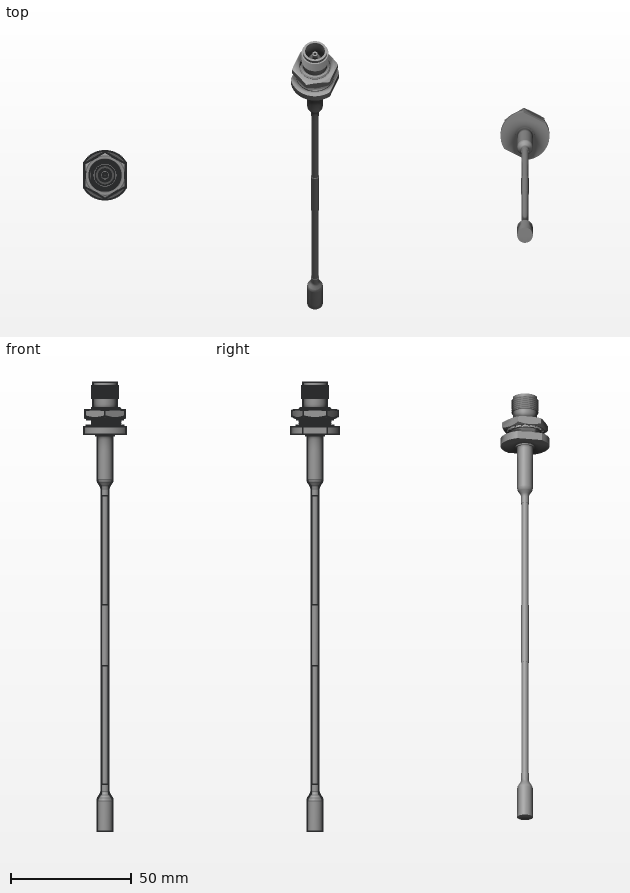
import cadquery as cq
import math


jack_top_z = 185.9
barrel_r = 5.0
bore_r = 4.0
bore_depth = 9.3
coupling_thread_r = 5.5
coupling_thread_bottom_z = 179.2
coupling_thread_turns = 6
thread_pitch = 0.87
thread_depth = 0.4
mount_thread_r = 6.5
mount_thread_top_z = 175.3
mount_thread_chamfer = 0.5
mount_flat_x = 5.5
seat_r = 7.8
seat_height = 0.5
flange_diameter = 20.3
flange_width = 17.5
flange_top_z = 167.5
flange_bottom_z = 164.3
collar_r = 3.9
collar_height = 0.5

nut_flats = 16.7
nut_top_z = 174.5
nut_bottom_z = 171.0
nut_chamfer_r = 8.2
nut_top_chamfer_angle = 15
nut_bottom_chamfer_angle = 30
washer_r = 7.6
washer_thickness = 0.7
washer_notches = 16
washer_notch_width = 0.7
washer_notch_depth = 0.7

insulator_r = 2.6
insulator_chamfer = 0.5
insulator_height = 4.3
contact_height = 7.3
contact_r = 1.1
contact_hole_r = 0.5
contact_hole_depth = 3.7

cable_r = 1.5
label_r = 1.58
label_top_z = 93.9
label_bottom_z = 68.6
boot_diameter = 6.5
boot_neck_r = 1.64
boot_neck_length = 3.0
boot_taper_length = 3.9
lower_boot_shoulder_z = 12.6
upper_boot_shoulder_z = 145.7
boot_taper_angle = 33
boot_round_length = 1.3

collar_bottom_z = flange_bottom_z - collar_height
bore_floor_z = jack_top_z - bore_depth
flange_r = flange_diameter / 2
boot_r = boot_diameter / 2
nut_height = nut_top_z - nut_bottom_z
coupling_thread_top_z = coupling_thread_bottom_z + coupling_thread_turns * thread_pitch


def cylinder(radius, bottom_z, top_z):
    """Solid cylinder on the Z axis between two heights."""
    return cq.Workplane("XY", origin=(0, 0, bottom_z)).circle(radius).extrude(top_z - bottom_z)


def turned(points):
    """Solid of revolution about Z from a closed outline of (radius, height) points."""
    return cq.Workplane("XZ").polyline(points).close().revolve(360, (0, 0, 0), (0, 1, 0))


def thread_grooves(radius, bottom_z, turns):
    """V-shaped rings, one per turn, that cut a thread into a shank of the given radius."""
    grooves = []
    for i in range(turns):
        middle_z = bottom_z + (i + 0.5) * thread_pitch
        grooves.append(turned([
            (radius, middle_z - thread_pitch / 2),
            (radius, middle_z + thread_pitch / 2),
            (radius - thread_depth, middle_z),
        ]))
    return grooves


def threaded_shank(radius, bottom_z, top_z, turns):
    """Shank with a ring-grooved thread that starts at its lower end."""
    shank = cylinder(radius, bottom_z, top_z)
    for groove in thread_grooves(radius, bottom_z, turns):
        shank = shank.cut(groove)
    return shank


def mount_thread():
    """Mounting thread with a chamfered top and one flat on the -X side."""
    seat_z = flange_top_z + seat_height
    turns = math.floor((mount_thread_top_z - mount_thread_chamfer - seat_z) / thread_pitch)
    shank = threaded_shank(mount_thread_r, seat_z, mount_thread_top_z, turns)
    shank = shank.faces(">Z").chamfer(mount_thread_chamfer)
    keep = cq.Workplane("XY").box(
        mount_flat_x + mount_thread_r, 2 * mount_thread_r, mount_thread_top_z, centered=(False, True, False)
    )
    return shank.intersect(keep.translate((-mount_flat_x, 0, 0)))


def flange():
    """Round flange with two flats across X, its raised seat above and its collar below."""
    disc = cylinder(flange_r, flange_bottom_z, flange_top_z)
    disc = disc.intersect(cq.Workplane("XY").box(flange_width, 2 * flange_r, 2 * jack_top_z))
    seat = cylinder(seat_r, flange_top_z, flange_top_z + seat_height)
    collar = cylinder(collar_r, collar_bottom_z, flange_bottom_z)
    return disc.union(seat).union(collar)


def make_housing():
    body = cylinder(barrel_r, flange_top_z, jack_top_z)
    coupling_thread = threaded_shank(
        coupling_thread_r, coupling_thread_bottom_z, coupling_thread_top_z, coupling_thread_turns
    )
    body = body.union(coupling_thread)
    body = body.union(mount_thread()).union(flange())
    return body.cut(cylinder(bore_r, bore_floor_z, jack_top_z))


def make_nut():
    """Hexagonal nut with flats facing +X and -X, chamfered at both ends, more steeply below."""
    corner_r = nut_flats / math.sqrt(3)
    blank = (
        cq.Workplane("XY", origin=(0, 0, nut_bottom_z))
        .transformed(rotate=(0, 0, 90))
        .polygon(6, 2 * corner_r)
        .extrude(nut_height)
    )
    chamfer_width = corner_r - nut_chamfer_r
    top_drop = chamfer_width * math.tan(math.radians(nut_top_chamfer_angle))
    bottom_rise = chamfer_width * math.tan(math.radians(nut_bottom_chamfer_angle))
    envelope = turned([
        (0, nut_bottom_z),
        (nut_chamfer_r, nut_bottom_z),
        (corner_r, nut_bottom_z + bottom_rise),
        (corner_r, nut_top_z - top_drop),
        (nut_chamfer_r, nut_top_z),
        (0, nut_top_z),
    ])
    return blank.intersect(envelope).cut(cylinder(mount_thread_r, nut_bottom_z, nut_top_z))


def make_washer():
    """Toothed washer clamped under the nut, notched evenly around its rim."""
    washer_bottom_z = nut_bottom_z - washer_thickness
    ring = cylinder(washer_r, washer_bottom_z, nut_bottom_z)
    notches = (
        cq.Workplane("XY", origin=(0, 0, washer_bottom_z))
        .polarArray(washer_r, 0, 360, washer_notches)
        .rect(2 * washer_notch_depth, washer_notch_width)
        .extrude(washer_thickness)
    )
    return ring.cut(notches).cut(cylinder(mount_thread_r, washer_bottom_z, nut_bottom_z))


def make_insulator():
    """Insulator standing on the bore floor, bored through for the contact."""
    insulator_top_z = bore_floor_z + insulator_height
    post = cylinder(insulator_r, bore_floor_z, insulator_top_z).faces(">Z").chamfer(insulator_chamfer)
    return post.cut(cylinder(contact_r, bore_floor_z, insulator_top_z))


def make_contact():
    """Socket contact, standing proud of the insulator."""
    contact_top_z = bore_floor_z + contact_height
    pin = cylinder(contact_r, bore_floor_z, contact_top_z)
    return pin.cut(cylinder(contact_hole_r, contact_top_z - contact_hole_depth, contact_top_z))


def make_cable():
    """Cable reaching into each boot as far as its shoulder."""
    return cylinder(cable_r, lower_boot_shoulder_z, upper_boot_shoulder_z)


def make_label():
    """Label sleeve around the cable."""
    sleeve = cylinder(label_r, label_bottom_z, label_top_z)
    return sleeve.cut(cylinder(cable_r, label_bottom_z, label_top_z))


def make_boot(end_z, shoulder_z):
    """Boot from its wide end, over a cone rounded at both ends, to the neck that grips the cable."""
    way = math.copysign(1, shoulder_z - end_z)
    neck_z = shoulder_z + way * boot_taper_length
    tip_z = neck_z + way * boot_neck_length
    round_drop = boot_round_length * math.tan(math.radians(boot_taper_angle / 2))
    cone_start = (boot_r - round_drop, shoulder_z + way * boot_round_length)
    cone_end = (boot_neck_r + round_drop, neck_z - way * boot_round_length)
    outline = (
        cq.Workplane("XZ")
        .moveTo(0, end_z)
        .lineTo(boot_r, end_z)
        .lineTo(boot_r, shoulder_z)
        .tangentArcPoint(cone_start, relative=False)
        .lineTo(*cone_end)
        .tangentArcPoint((boot_neck_r, neck_z), relative=False)
        .lineTo(boot_neck_r, tip_z)
        .lineTo(cable_r, tip_z)
        .lineTo(cable_r, shoulder_z)
        .lineTo(0, shoulder_z)
        .close()
    )
    return outline.revolve(360, (0, 0, 0), (0, 1, 0))


boot_ends = [(0, lower_boot_shoulder_z), (collar_bottom_z, upper_boot_shoulder_z)]
boots = [make_boot(end_z, shoulder_z) for end_z, shoulder_z in boot_ends]

result = cq.Compound.makeCompound([
    make_housing().val(),
    make_nut().val(),
    make_washer().val(),
    make_insulator().val(),
    make_contact().val(),
    make_cable().val(),
    make_label().val(),
    *[boot.val() for boot in boots],
])